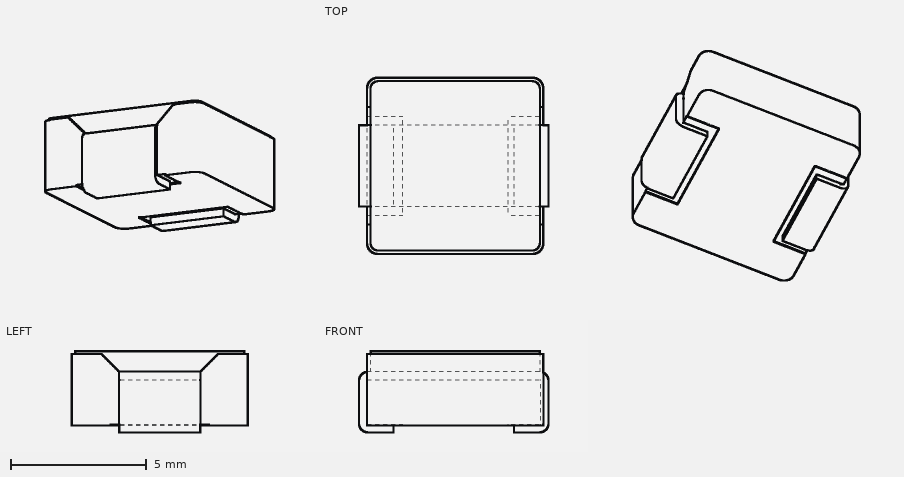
import cadquery as cq

total_length = 7.0
total_height = 3.0

strip_width = 3.0
strip_thickness = 0.3
strip_top = 2.25
bend_radius = 0.35
foot_length = 1.28

housing_size = 6.5
housing_corner_radius = 0.4
housing_bottom = 0.25
housing_left = -total_length / 2 + strip_thickness
housing_center = housing_left + housing_size / 2

rim_width = 0.13
lid_height = 0.1
rim_top = total_height - lid_height

pocket_clearance = 0.32
pocket_width = strip_width + 2 * pocket_clearance
pocket_length = foot_length - strip_thickness + pocket_clearance


def make_lead_strip():
    """C-shaped strip with rounded outer bends and two feet pointing inwards."""
    outer = (
        cq.Workplane("XY")
        .box(total_length, strip_width, strip_top, centered=(True, True, False))
        .edges("|Y")
        .fillet(bend_radius)
    )
    inside_length = total_length - 2 * strip_thickness
    inside_height = strip_top - 2 * strip_thickness
    inside = (
        cq.Workplane("XY", origin=(0, 0, strip_thickness))
        .box(inside_length, strip_width, inside_height, centered=(True, True, False))
    )
    foot_gap = cq.Workplane("XY").box(
        total_length - 2 * foot_length, strip_width, strip_thickness, centered=(True, True, False)
    )
    return outer.cut(inside).cut(foot_gap)


def make_block(size, corner_radius, bottom, top):
    """Square block with rounded vertical edges, centred on the housing."""
    return (
        cq.Workplane("XY", origin=(housing_center, 0, bottom))
        .box(size, size, top - bottom, centered=(True, True, False))
        .edges("|Z")
        .fillet(corner_radius)
    )


def make_wall_notch(wall_x, outward):
    """Notch with 45 degree flanks, then straight down past the outer bend of the strip."""
    bottom_half = strip_width / 2
    top_half = bottom_half + rim_top - strip_top
    depth = -outward * rim_width
    return (
        cq.Workplane("YZ", origin=(wall_x, 0, 0))
        .polyline([
            (-bottom_half, strip_top),
            (-bottom_half, strip_top - strip_thickness),
            (bottom_half, strip_top - strip_thickness),
            (bottom_half, strip_top),
            (top_half, rim_top),
            (-top_half, rim_top),
        ])
        .close()
        .extrude(depth)
    )


def make_foot_pocket(wall_x, outward):
    """Pocket as deep as the foot top, open at the side wall and at the underside."""
    return (
        cq.Workplane("XY", origin=(wall_x - outward * pocket_length / 2, 0, housing_bottom))
        .box(pocket_length, pocket_width, strip_thickness - housing_bottom, centered=(True, True, False))
    )


def make_housing(lead_strip):
    lower_block = make_block(housing_size, housing_corner_radius, housing_bottom, rim_top)
    lid_size = housing_size - 2 * rim_width
    lid = make_block(lid_size, housing_corner_radius - rim_width, rim_top, total_height)
    housing = lower_block.union(lid)
    for outward in (-1, 1):
        wall_x = housing_center + outward * housing_size / 2
        housing = housing.cut(make_wall_notch(wall_x, outward))
        housing = housing.cut(make_foot_pocket(wall_x, outward))
    return housing.cut(lead_strip)


lead_strip = make_lead_strip()
housing = make_housing(lead_strip)

result = cq.Compound.makeCompound([housing.val(), lead_strip.val()])